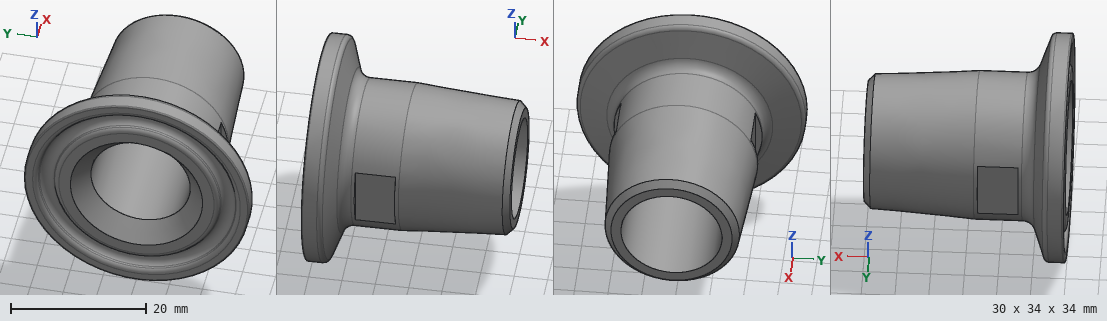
import cadquery as cq
import math

total_length = 30.0
flange_radius = 17.0
face_edge_radius = 0.2
rim_end = 2.35
rim_back_radius = 0.8
flange_slope = math.radians(20)

neck_radius = 11.0
neck_fillet = 2.0
taper_start = 13.6
spigot_end_radius = 10.0
end_chamfer = 1.0

bore_radius = 7.5
entry_radius = 10.0
entry_depth = 2.9

groove_center_radius = 13.75
groove_depth = 1.6
groove_floor_radius = 1.2
groove_lip_radius = 0.8
groove_wall_angle = math.radians(20)

flat_start = 7.0
flat_end = 13.02
flat_distance = 10.0


def make_body():
    """Revolve the outside profile: flange, neck, tapered spigot."""
    cos_slope = math.cos(flange_slope)
    sin_slope = math.sin(flange_slope)
    half_turn = (math.pi / 2 + flange_slope) / 2
    rim_center_r = flange_radius - rim_back_radius
    cone_outer = (rim_end + rim_back_radius * cos_slope, rim_center_r + rim_back_radius * sin_slope)
    rim_mid = (rim_end + rim_back_radius * math.cos(half_turn),
               rim_center_r + rim_back_radius * math.sin(half_turn))

    cone_inner_r = neck_radius + neck_fillet * (1 - sin_slope)
    cone_inner_x = cone_outer[0] + (cone_outer[1] - cone_inner_r) * math.tan(flange_slope)
    neck_start = cone_inner_x + neck_fillet * cos_slope
    neck_mid = (neck_start - neck_fillet * math.cos(half_turn),
                neck_radius + neck_fillet * (1 - math.sin(half_turn)))

    profile = (
        cq.Workplane("XY")
        .lineTo(0, flange_radius - face_edge_radius)
        .radiusArc((face_edge_radius, flange_radius), face_edge_radius)
        .lineTo(rim_end, flange_radius)
        .threePointArc(rim_mid, cone_outer)
        .lineTo(cone_inner_x, cone_inner_r)
        .threePointArc(neck_mid, (neck_start, neck_radius))
        .lineTo(taper_start, neck_radius)
        .lineTo(total_length - end_chamfer, spigot_end_radius)
        .lineTo(total_length, spigot_end_radius - end_chamfer)
        .lineTo(total_length, 0)
        .close()
    )
    return profile.revolve(360, (0, 0, 0), (1, 0, 0))


def make_bore():
    """Through bore with a conical entry at the flange face."""
    return (
        cq.Workplane("XY")
        .lineTo(0, entry_radius)
        .lineTo(entry_depth, bore_radius)
        .lineTo(total_length, bore_radius)
        .lineTo(total_length, 0)
        .close()
        .revolve(360, (0, 0, 0), (1, 0, 0))
    )


def make_groove():
    """Gasket groove: round floor, sloping walls and rounded lips."""
    cos_wall = math.cos(groove_wall_angle)
    sin_wall = math.sin(groove_wall_angle)
    half_turn = (math.pi / 2 + groove_wall_angle) / 2
    floor_half = groove_floor_radius * cos_wall
    floor_edge_x = groove_depth - groove_floor_radius * (1 - sin_wall)
    lip_edge_x = groove_lip_radius * (1 - sin_wall)
    wall_half = floor_half + (floor_edge_x - lip_edge_x) * math.tan(groove_wall_angle)
    mouth_half = wall_half + groove_lip_radius * cos_wall
    lip_mid_x = groove_lip_radius * (1 - math.sin(half_turn))
    lip_mid_half = mouth_half - groove_lip_radius * math.cos(half_turn)

    def point(x, offset):
        return (x, groove_center_radius + offset)

    return (
        cq.Workplane("XY")
        .moveTo(*point(0, -mouth_half))
        .threePointArc(point(lip_mid_x, -lip_mid_half), point(lip_edge_x, -wall_half))
        .lineTo(*point(floor_edge_x, -floor_half))
        .threePointArc(point(groove_depth, 0), point(floor_edge_x, floor_half))
        .lineTo(*point(lip_edge_x, wall_half))
        .threePointArc(point(lip_mid_x, lip_mid_half), point(0, mouth_half))
        .close()
        .revolve(360, (0, 0, 0), (1, 0, 0))
    )


def make_flat_cutter(side):
    """Block that mills a wrench flat on the +Y (1) or -Y (-1) side of the neck."""
    block_depth = flange_radius - flat_distance
    center_x = (flat_start + flat_end) / 2
    center_y = side * (flat_distance + block_depth / 2)
    return (
        cq.Workplane("XY")
        .box(flat_end - flat_start, block_depth, 2 * neck_radius)
        .translate((center_x, center_y, 0))
    )


result = make_body().cut(make_bore()).cut(make_groove())
for side in (-1, 1):
    result = result.cut(make_flat_cutter(side))